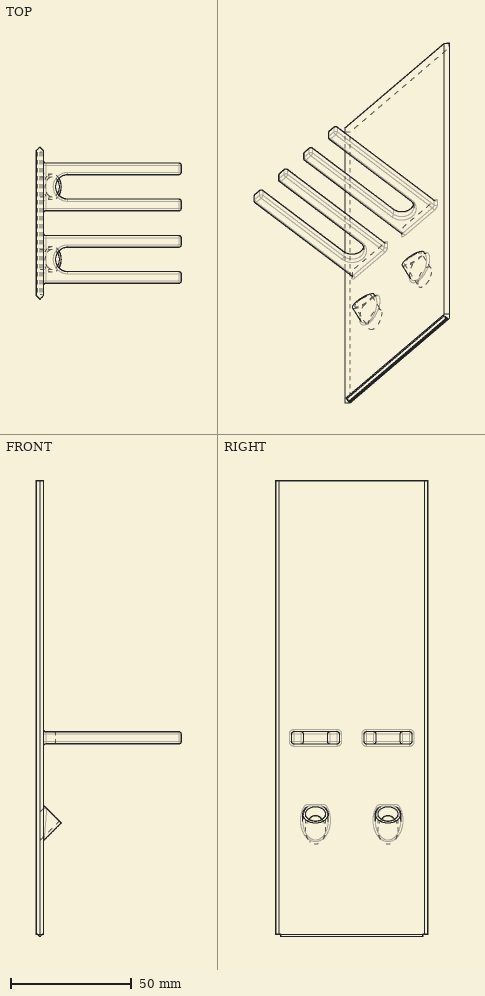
import cadquery as cq
import math

plate_thickness = 3.0
plate_width = 63.0
total_height = 188.8
plate_middle = plate_thickness / 2
side_edge_depth = plate_middle
bottom_ridge_height = 1.0
ridge_end_inset = 0.5

embed_depth = 1.9
fork_length = 57.0
fork_width = 19.8
fork_height = 5.1
fork_level = 82.3
slot_width = 10.0
slot_end_offset = 10.0
edge_round = 1.0
root_fillet = 1.0

socket_diameter = 10.5
hole_diameter = 8.3
socket_level = 47.2
socket_length = 5.1
socket_axis = cq.Vector(math.cos(math.pi / 4), 0, math.sin(math.pi / 4))
tool_reach = 4 * socket_diameter

pair_spacing = 30.0
pair_positions = (-pair_spacing / 2, pair_spacing / 2)


def make_plate():
    ridge_side = plate_width / 2
    face_side = ridge_side - side_edge_depth
    outline = [
        (0, -face_side),
        (plate_middle, -ridge_side),
        (plate_thickness, -face_side),
        (plate_thickness, face_side),
        (plate_middle, ridge_side),
        (0, face_side),
    ]
    slab = (
        cq.Workplane("XY", origin=(0, 0, bottom_ridge_height))
        .polyline(outline)
        .close()
        .extrude(total_height - bottom_ridge_height)
    )
    bottom_ridge = (
        cq.Workplane("XZ")
        .moveTo(plate_middle, 0)
        .lineTo(plate_middle + bottom_ridge_height, bottom_ridge_height)
        .lineTo(plate_middle - bottom_ridge_height, bottom_ridge_height)
        .close()
        .extrude(face_side - ridge_end_inset, both=True)
    )
    return slab.union(bottom_ridge)


def make_fork(y):
    floor = cq.Workplane("XY", origin=(plate_thickness, y, fork_level - fork_height / 2))
    blank = (
        floor.center((fork_length - embed_depth) / 2, 0)
        .rect(fork_length + embed_depth, fork_width)
        .extrude(fork_height)
    )
    slot = (
        floor.center(slot_end_offset + fork_length / 2, 0)
        .slot2D(fork_length + slot_width, slot_width)
        .extrude(fork_height)
    )
    fork = blank.cut(slot)
    return fork.faces("not <X").edges("not <X").fillet(edge_round)


def socket_workplane(y):
    origin = cq.Vector(plate_thickness, y, socket_level)
    return cq.Workplane(cq.Plane(origin, (0, 1, 0), socket_axis))


def make_socket(y):
    base = socket_workplane(y).workplane(offset=-socket_diameter)
    cylinder = base.circle(socket_diameter / 2).extrude(socket_diameter + socket_length)
    in_front = (
        cq.Workplane("YZ", origin=(plate_thickness - embed_depth, y, socket_level))
        .rect(tool_reach, tool_reach)
        .extrude(tool_reach)
    )
    return cylinder.intersect(in_front)


def make_hole(y):
    return socket_workplane(y).circle(hole_diameter / 2).extrude(tool_reach / 2, both=True)


def round_roots(body):
    front_face = body.faces(cq.NearestToPointSelector((plate_thickness, 0, total_height / 2))).val()
    root_edges = []
    for outline in front_face.innerWires():
        root_edges.extend(outline.Edges())
    return body.newObject(root_edges).fillet(root_fillet)


result = make_plate()
for y in pair_positions:
    result = result.union(make_fork(y)).union(make_socket(y))

result = round_roots(result)
for y in pair_positions:
    result = result.cut(make_hole(y))